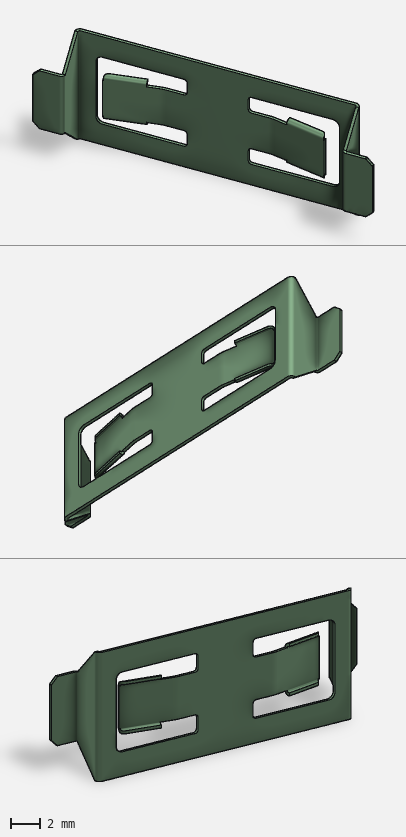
import cadquery as cq
import math

thickness = 0.23
length = 25.4
height = 9.52
depth = 2.85
overcut = 0.25

wall_half_span = 10.62
plate_bend_inner = 0.15
foot_bend_inner = 0.08
foot_height = 5.1
foot_chamfer = 0.5

window_outer_x = 9.1
window_inner_x = 2.29
window_height = 5.9
window_outer_radius = 0.5
window_inner_radius = 0.25

tongue_height = 3.15
tongue_bend_x = 3.89
tongue_angle = 10.5
tongue_bend_inner = 2.03
tongue_flat = 4.1

lip_inner_radius = 0.13
lip_depth = 0.43
lip_tip_gap = 0.05
lip_length = 3.05
lip_corner_radius = 0.38

plate_bend_outer = plate_bend_inner + thickness
foot_bend_outer = foot_bend_inner + thickness
lip_outer_radius = lip_inner_radius + thickness


def bent_strip():
    """Full-height hat section: plate, two side walls and two outward feet."""
    foot_end = length / 2
    wall_outer = wall_half_span
    wall_inner = wall_half_span - thickness
    half = (
        cq.Workplane("XY", origin=(0, 0, -height / 2))
        .moveTo(0, 0)
        .lineTo(wall_outer - plate_bend_outer, 0)
        .radiusArc((wall_outer, -plate_bend_outer), plate_bend_outer)
        .lineTo(wall_outer, -depth + foot_bend_outer)
        .radiusArc((wall_outer + foot_bend_inner, -depth + thickness), -foot_bend_inner)
        .lineTo(foot_end, -depth + thickness)
        .lineTo(foot_end, -depth)
        .lineTo(wall_inner + foot_bend_outer, -depth)
        .radiusArc((wall_inner, -depth + foot_bend_outer), foot_bend_outer)
        .lineTo(wall_inner, -plate_bend_outer)
        .radiusArc((wall_inner - plate_bend_inner, -thickness), -plate_bend_inner)
        .lineTo(0, -thickness)
        .close()
        .extrude(height)
    )
    return half.union(half.mirror("YZ"))


def taper_cut():
    """Waste above the side walls and feet, tapering the walls to the foot height."""
    return (
        cq.Workplane("YZ", origin=(-length / 2 - overcut, 0, 0))
        .polyline([
            (-plate_bend_outer, height / 2),
            (-depth + foot_bend_outer, foot_height / 2),
            (-depth - overcut, foot_height / 2),
            (-depth - overcut, height / 2),
        ])
        .close()
        .extrude(length + 2 * overcut)
    )


def window_cut():
    """U-shaped opening on the +X side, leaving the root of the tongue."""
    window_half = window_height / 2
    tongue_half = tongue_height / 2
    return (
        cq.Workplane("XZ", origin=(0, overcut, 0))
        .polyline([
            (window_inner_x, window_half),
            (window_outer_x, window_half),
            (window_outer_x, -window_half),
            (window_inner_x, -window_half),
            (window_inner_x, -tongue_half),
            (tongue_bend_x, -tongue_half),
            (tongue_bend_x, tongue_half),
            (window_inner_x, tongue_half),
        ])
        .close()
        .extrude(thickness + 2 * overcut)
        .edges("|Y and >X").fillet(window_outer_radius)
        .edges("|Y and <X").fillet(window_inner_radius)
    )


def lip():
    """Upper lip of the unbent tongue: a quarter curl and a short straight edge."""
    tongue_half = tongue_height / 2
    lip_back = -thickness + lip_depth
    curl_end = -thickness + lip_outer_radius
    tip_x = tongue_bend_x + tongue_flat - lip_tip_gap
    return (
        cq.Workplane("YZ", origin=(tip_x - lip_length, 0, 0))
        .moveTo(-thickness, tongue_half)
        .radiusArc((curl_end, tongue_half + lip_outer_radius), lip_outer_radius)
        .lineTo(lip_back, tongue_half + lip_outer_radius)
        .lineTo(lip_back, tongue_half + lip_inner_radius)
        .lineTo(curl_end, tongue_half + lip_inner_radius)
        .radiusArc((0, tongue_half), -lip_inner_radius)
        .close()
        .extrude(lip_length)
        .edges("|Z and >X and >Y").fillet(lip_corner_radius)
    )


def tongue():
    """Tongue on the +X side: the bend, then the tilted flat with its two lips."""
    pivot_y = -thickness - tongue_bend_inner
    bend_outer = tongue_bend_inner + thickness
    tilt = math.radians(tongue_angle)

    def on_bend(radius, angle):
        return tongue_bend_x + radius * math.sin(angle), pivot_y + radius * math.cos(angle)

    bend = (
        cq.Workplane("XY", origin=(0, 0, -tongue_height / 2))
        .moveTo(*on_bend(bend_outer, 0))
        .radiusArc(on_bend(bend_outer, tilt), bend_outer)
        .lineTo(*on_bend(tongue_bend_inner, tilt))
        .radiusArc(on_bend(tongue_bend_inner, 0), -tongue_bend_inner)
        .close()
        .extrude(tongue_height)
    )
    flat = cq.Workplane("XY").box(
        tongue_flat, thickness, tongue_height, centered=(False, False, True)
    ).translate((tongue_bend_x, -thickness, 0))
    upper_lip = lip()
    flat = flat.union(upper_lip).union(upper_lip.mirror("XY"))
    flat = flat.rotate((tongue_bend_x, pivot_y, 0), (tongue_bend_x, pivot_y, 1), -tongue_angle)
    return bend.union(flat)


waste = taper_cut()
opening = window_cut()
spring = tongue()

result = bent_strip().cut(waste).cut(waste.mirror("XY"))
result = result.edges("|Y and (<X or >X)").chamfer(foot_chamfer)
result = result.cut(opening).cut(opening.mirror("YZ"))
result = result.union(spring).union(spring.mirror("YZ"))